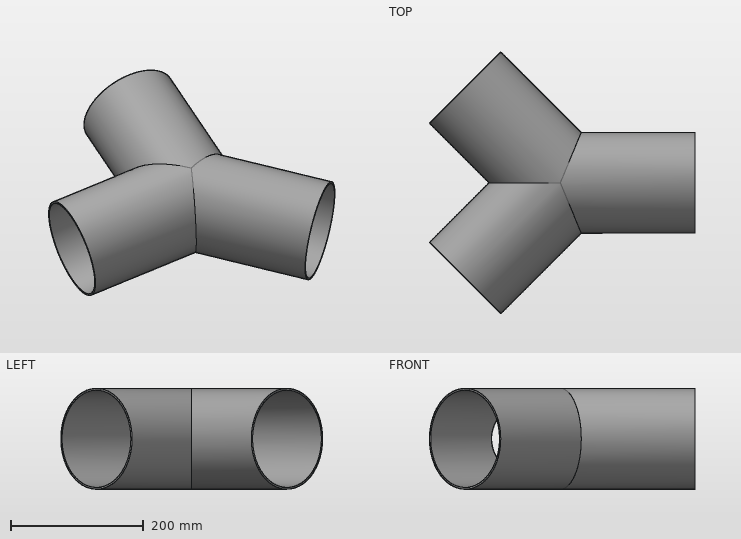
import cadquery as cq

outer_diameter = 152.3
bore_diameter = 146.5
leg_length = 203.0
leg_angles = (0, 135, -135)


def three_legs(diameter):
    """Solid of three round legs, fused where they meet at the origin."""
    legs = cq.Workplane("XY")
    for angle in leg_angles:
        leg = cq.Workplane("YZ").circle(diameter / 2).extrude(leg_length)
        legs = legs.union(leg.rotate((0, 0, 0), (0, 0, 1), angle))
    return legs


result = three_legs(outer_diameter).cut(three_legs(bore_diameter))